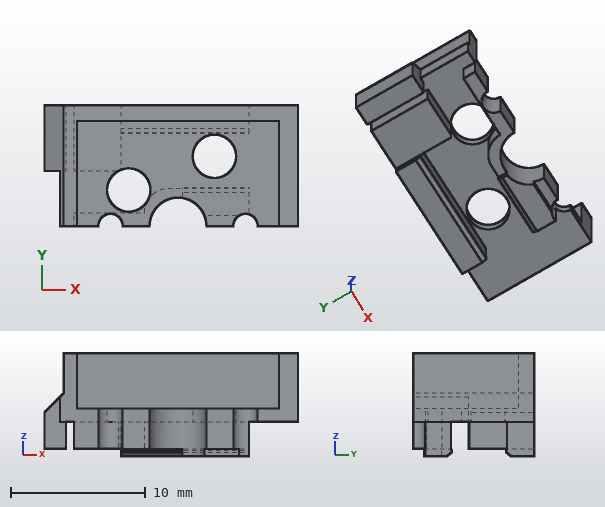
import cadquery as cq
import math

length = 18.8
depth = 9.0
height = 7.65

leg_bottom = 0.55
plate_bottom = 2.56
plate_top = 3.56

tray_left = 1.43
left_wall_inner = 2.4
right_wall_inner = 17.4
rear_wall_inner = 7.8

ledge_left = 1.15
arm_inner = 1.6
arm_front = 4.1
bevel_top = 4.69
bevel_bottom = bevel_top - tray_left

leg_left = 2.18
leg_right = 15.17
front_web_rear = 1.0
front_leg_left = 7.4
front_leg_rear = 2.83
rear_bar_front = 6.95
rear_leg_right = 5.69

front_strip_left = 10.22
front_strip_front = 0.8
rear_strip_left = rear_leg_right
lip_reach = 0.05
lip_flat_bottom = 0.3
lip_flat_top = 0.43
lip_bevel_run = 0.37

hole_diameter = 3.2
hole_centers = [(6.25, 2.7), (12.6, 5.2)]
notch_center_y = 0.03
large_notch_x = 9.9
large_notch_diameter = 4.2
small_notch_diameter = 1.8
small_notch_offset = 5.0


def box(x_range, y_range, z_range):
    """Axis-aligned block between the given limits."""
    x0, x1 = x_range
    y0, y1 = y_range
    z0, z1 = z_range
    return cq.Workplane("XY").box(x1 - x0, y1 - y0, z1 - z0, centered=False).translate((x0, y0, z0))


def make_tray():
    """Floor plate with three walls, open at the front."""
    tray = box((tray_left, length), (0, depth), (plate_bottom, height))
    pocket = box((left_wall_inner, right_wall_inner), (0, rear_wall_inner), (plate_top, height))
    return tray.cut(pocket)


def make_latch_arm():
    """Side arm with a 45 degree bevel on top, cut back to a shallow ledge at the front."""
    profile = [
        (0, plate_bottom),
        (0, bevel_bottom),
        (tray_left, bevel_top),
        (tray_left, plate_bottom),
    ]
    upper = cq.Workplane("XZ").polyline(profile).close().extrude(-depth)
    upper = upper.cut(box((0, ledge_left), (0, arm_front), (plate_bottom, height)))
    lower = box((0, arm_inner), (arm_front, depth), (leg_bottom, plate_bottom))
    return upper.union(lower)


def make_legs():
    """Front leg on a thin web, and an L-shaped rear leg; the front leg corner clears the nearby hole."""
    leg_levels = (leg_bottom, plate_bottom)
    front_web = box((leg_left, leg_right), (0, front_web_rear), leg_levels)
    front_leg = box((front_leg_left, leg_right), (0, front_leg_rear), leg_levels)
    front_leg = front_leg.edges("|Z and <X and >Y").fillet(front_leg_rear - front_web_rear)
    rear_leg = box((leg_left, rear_leg_right), (arm_front, depth), leg_levels)
    rear_bar = box((leg_left, leg_right), (rear_bar_front, depth), leg_levels)
    return front_web.union(front_leg).union(rear_leg).union(rear_bar)


def make_snap_strip(outer_y, leg_face_y, x_left):
    """Strip under a leg whose lip overhangs the leg face towards the middle of the part."""
    toward_middle = math.copysign(1, leg_face_y - outer_y)
    tip_y = leg_face_y + toward_middle * lip_reach
    profile = [
        (outer_y, 0),
        (tip_y - toward_middle * lip_bevel_run, 0),
        (tip_y, lip_flat_bottom),
        (tip_y, lip_flat_top),
        (leg_face_y, leg_bottom),
        (outer_y, leg_bottom),
    ]
    strip = cq.Workplane("YZ").polyline(profile).close().extrude(leg_right - x_left)
    return strip.translate((x_left, 0, 0))


def make_openings():
    """Two round holes and three half-round notches in the front edge, all through in Z."""
    small_notch_centers = [
        (large_notch_x - small_notch_offset, notch_center_y),
        (large_notch_x + small_notch_offset, notch_center_y),
    ]
    holes = cq.Workplane("XY").pushPoints(hole_centers).circle(hole_diameter / 2).extrude(height)
    small_notches = cq.Workplane("XY").pushPoints(small_notch_centers)
    small_notches = small_notches.circle(small_notch_diameter / 2).extrude(height)
    large_notch = cq.Workplane("XY").center(large_notch_x, notch_center_y)
    large_notch = large_notch.circle(large_notch_diameter / 2).extrude(height)
    return holes.union(small_notches).union(large_notch)


body = make_tray().union(make_latch_arm()).union(make_legs())
body = body.union(make_snap_strip(front_strip_front, front_leg_rear, front_strip_left))
body = body.union(make_snap_strip(depth, rear_bar_front, rear_strip_left))
result = body.cut(make_openings())